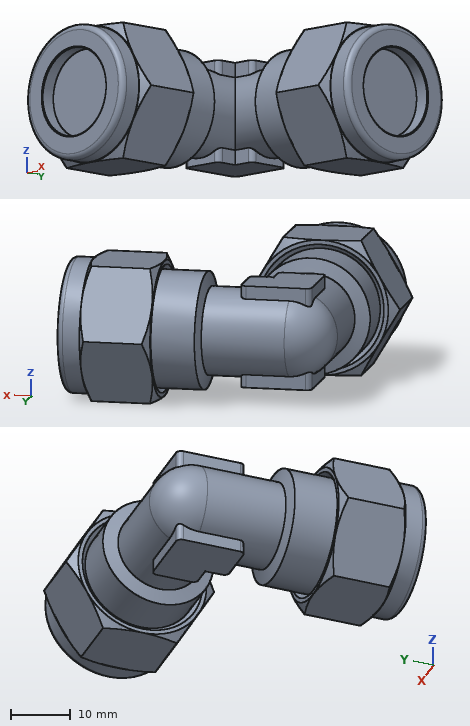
import cadquery as cq
import math

overall_length = 51.3
hex_flats = 23.0
hex_corners = hex_flats / math.cos(math.radians(30))
leg_length = overall_length - hex_corners / 2

body_radius = 7.5
pad_height = 8.65
pad_outer = 3.8
pad_reach = 8.25
pad_inner = 4.25
pad_corner_radius = 0.9

collar_radius = 9.95
collar_start = 14.1
collar_cone_angle = 15.0

nut_start = 22.0
nut_end = 34.05
nut_chamfer_angle = 30.0
recess_radius = 10.75
recess_depth = recess_radius - collar_radius
rim_radius = 11.45
rim_fillet = 0.95
bore_radius = 7.5
bore_depth = 2.6
bore_chamfer = 0.15


def cylinder(radius, start, end):
    """Cylinder on the Z axis between two heights."""
    return cq.Workplane("XY").workplane(offset=start).circle(radius).extrude(end - start)


def make_collar():
    """Collar that widens from the body radius through a shallow cone."""
    cone_length = (collar_radius - body_radius) * math.tan(math.radians(collar_cone_angle))
    profile = [
        (0, collar_start),
        (body_radius, collar_start),
        (collar_radius, collar_start + cone_length),
        (collar_radius, nut_start + recess_depth),
        (0, nut_start + recess_depth),
    ]
    return cq.Workplane("XZ").polyline(profile).close().revolve(360, (0, 0), (0, 1))


def make_nut():
    """Hexagon with conically trimmed corners and a countersunk recess around the collar."""
    hexagon = cq.Workplane("XY").workplane(offset=nut_start).polygon(6, hex_corners)
    hexagon = hexagon.extrude(nut_end - nut_start)
    face_radius = hex_flats / 2
    corner_radius = hex_corners / 2
    trim = (corner_radius - face_radius) * math.tan(math.radians(nut_chamfer_angle))
    profile = [
        (0, nut_start),
        (face_radius, nut_start),
        (corner_radius, nut_start + trim),
        (corner_radius, nut_end - trim),
        (face_radius, nut_end),
        (0, nut_end),
    ]
    envelope = cq.Workplane("XZ").polyline(profile).close().revolve(360, (0, 0), (0, 1))
    recess_profile = [
        (0, nut_start),
        (recess_radius, nut_start),
        (collar_radius, nut_start + recess_depth),
        (0, nut_start + recess_depth),
    ]
    recess = cq.Workplane("XZ").polyline(recess_profile).close().revolve(360, (0, 0), (0, 1))
    return hexagon.intersect(envelope).cut(recess)


def make_leg():
    """One leg along +Z, with hexagon corners on the X axis."""
    rim = cylinder(rim_radius, nut_end, leg_length).faces(">Z").edges().fillet(rim_fillet)
    leg = cylinder(body_radius, 0, collar_start).union(make_collar()).union(make_nut()).union(rim)
    leg = leg.cut(cylinder(bore_radius, leg_length - bore_depth, leg_length))
    bore_mouth = cq.selectors.RadiusNthSelector(0)
    return leg.faces(">Z").edges(bore_mouth).chamfer(bore_chamfer)


def make_pads():
    """L-shaped block whose two ends stand proud of the elbow as wrench pads."""
    outline = [
        (-pad_outer, pad_outer),
        (pad_reach, pad_outer),
        (pad_reach, -pad_inner),
        (pad_inner, -pad_inner),
        (pad_inner, -pad_reach),
        (-pad_outer, -pad_reach),
    ]
    block = cq.Workplane("XY").polyline(outline).close().extrude(pad_height, both=True)
    inner_corner = cq.selectors.NearestToPointSelector((pad_inner, -pad_inner, 0))
    outer_edges = cq.selectors.SubtractSelector(cq.StringSyntaxSelector("|Z"), inner_corner)
    return block.edges(outer_edges).fillet(pad_corner_radius)


front_leg = make_leg().rotate((0, 0, 0), (1, 0, 0), 90)
side_leg = front_leg.rotate((0, 0, 0), (0, 0, 1), 90)
elbow_ball = cq.Workplane("XY").sphere(body_radius)

result = front_leg.union(side_leg).union(elbow_ball).union(make_pads())